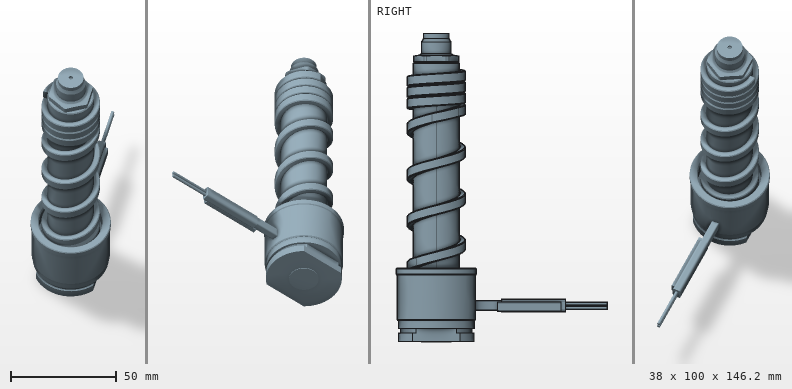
import cadquery as cq
import math

boss_radius = 7.0
base_bottom_z = 0.3
base_radius = 18.0
base_top_z = 4.3
neck_radius = 17.0
neck_top_z = 6.4
across_flats = 28.0
flange_radius = 18.0
flange_top_z = 10.2
cup_radius = 18.6
cup_edge_chamfer = 0.5
rim_radius = 19.0
rim_bottom_z = 31.8
rim_top_z = 35.1
rim_edge_chamfer = 0.4
bore_radius = 15.0
bore_mouth_chamfer = 0.6
bore_floor_z = 28.0

tube_radius = 11.0
tube_top_z = 132.5
tube_edge_chamfer = 0.5
undercut_radius = 9.2
hex_bottom_z = 132.8
hex_top_z = 135.5
hex_across_flats = 19.0
hex_corner_fillet = 1.5
hex_corner_radius = 10.75
bevel_radius = 7.9
bevel_bottom_z = 136.0
shoulder_radius = 7.0
shoulder_bottom_z = 136.7
shoulder_top_z = 142.1
tip_base_radius = 6.5
tip_base_z = 143.0
tip_radius = 6.1
tip_bottom_z = 143.8
total_height = 146.2
tip_hole_radius = 1.0
tip_hole_depth = 1.0

full_turn = 360.0
strip_outer_radius = 13.85
strip_overlap = 0.5
strip_inner_radius = tube_radius - strip_overlap
strip_height = 4.8
strip_outer_chamfer = 0.4
strip_inner_chamfer = 0.9
strip_end_angle = 176.0
strip_end_z = 127.5
tight_pitch = 5.3
open_pitch = 22.0
upper_tight_sweep = 1148.0
open_sweep = 1114.0
lower_tight_sweep = 720.0
blend_sweep = 116.0
blend_steps = 2

cable_x = -1.3
cable_z = 17.4
cable_width = 3.6
cable_height = 4.8
cable_fillet = 0.6
sleeve_width = 4.0
sleeve_height = 6.1
sleeve_fillet = 1.0
sleeve_start_y = 31.0
sleeve_end_y = 61.2
clip_left_x = -0.1
clip_right_x = 2.4
clip_bottom_z = 14.5
clip_height = 4.6
clip_fillet = 0.6
clip_start_y = 29.0
clip_end_y = 59.0
wire_radius = 0.75
wire_spacing = 2.0
wire_middle_z = 17.2
wire_end_y = 81.0


def disc(radius, bottom_z, top_z):
    return cq.Workplane("XY").workplane(offset=bottom_z).circle(radius).extrude(top_z - bottom_z)


def frustum(bottom_radius, top_radius, bottom_z, top_z):
    height = top_z - bottom_z
    return cq.Workplane("XY").add(
        cq.Solid.makeCone(bottom_radius, top_radius, height, cq.Vector(0, 0, bottom_z))
    )


def make_base():
    """Grooved foot with two flats, standing on a thin boss."""
    foot = disc(base_radius, base_bottom_z, base_top_z).union(disc(neck_radius, base_top_z, neck_top_z))
    flats = cq.Workplane("XY").box(across_flats, 2 * base_radius, neck_top_z, centered=(True, True, False))
    return foot.intersect(flats).union(disc(boss_radius, 0, base_bottom_z))


def make_cup():
    """Cup with a raised rim, bored from above around the tube."""
    flange = disc(flange_radius, neck_top_z, flange_top_z)
    wall = disc(cup_radius, flange_top_z, rim_bottom_z).faces("<Z").chamfer(cup_edge_chamfer)
    rim = disc(rim_radius, rim_bottom_z, rim_top_z).faces("<Z or >Z").chamfer(rim_edge_chamfer)
    bore = disc(bore_radius, bore_floor_z, rim_top_z)
    mouth = frustum(bore_radius, bore_radius + bore_mouth_chamfer, rim_top_z - bore_mouth_chamfer, rim_top_z)
    return flange.union(wall).union(rim).cut(bore).cut(mouth)


def make_tube():
    """Long tube carrying the cone-topped hexagon and the stepped tip."""
    tube = disc(tube_radius, neck_top_z, tube_top_z).faces(">Z").chamfer(tube_edge_chamfer)
    undercut = disc(undercut_radius, tube_top_z, hex_bottom_z)
    hex_cap = frustum(hex_corner_radius, bevel_radius, hex_top_z, bevel_bottom_z)
    hexagon = (
        cq.Workplane("XY")
        .workplane(offset=hex_bottom_z)
        .polygon(6, hex_across_flats, circumscribed=True)
        .extrude(bevel_bottom_z - hex_bottom_z)
        .edges("|Z")
        .fillet(hex_corner_fillet)
        .cut(disc(tube_radius, hex_top_z, bevel_bottom_z).cut(hex_cap))
    )
    bevel = frustum(bevel_radius, shoulder_radius, bevel_bottom_z, shoulder_bottom_z)
    shoulder = disc(shoulder_radius, shoulder_bottom_z, shoulder_top_z)
    shoulder_bevel = frustum(shoulder_radius, tip_base_radius, shoulder_top_z, tip_base_z)
    tip_base = frustum(tip_base_radius, tip_radius, tip_base_z, tip_bottom_z)
    tip = disc(tip_radius, tip_bottom_z, total_height)
    hole = disc(tip_hole_radius, total_height - tip_hole_depth, total_height)
    for piece in (undercut, hexagon, bevel, shoulder, shoulder_bevel, tip_base, tip):
        tube = tube.union(piece)
    return tube.cut(hole)


def strip_segment(pitch, sweep, start_angle, start_z):
    """One stretch of the strip, climbing counterclockwise at a constant pitch."""
    path = cq.Wire.makeHelix(pitch, pitch * sweep / full_turn, strip_outer_radius)
    thickness = strip_outer_radius - strip_inner_radius
    segment = (
        cq.Workplane("XZ")
        .center((strip_outer_radius + strip_inner_radius) / 2, 0)
        .sketch()
        .rect(thickness, strip_height)
        .vertices(">X")
        .chamfer(strip_outer_chamfer)
        .reset()
        .vertices("<X")
        .chamfer(strip_inner_chamfer)
        .finalize()
        .sweep(cq.Workplane(path), isFrenet=True)
    )
    return segment.rotate((0, 0, 0), (0, 0, 1), start_angle).translate((0, 0, start_z))


def make_strip():
    """Strip segments from the upper end down: tight, blend, open, blend, tight."""
    blend = []
    for step in range(blend_steps):
        share = (step + 0.5) / blend_steps
        blend.append((tight_pitch + share * (open_pitch - tight_pitch), blend_sweep / blend_steps))
    stretches = [(tight_pitch, upper_tight_sweep)] + blend + [(open_pitch, open_sweep)]
    stretches += blend[::-1] + [(tight_pitch, lower_tight_sweep)]

    angle = strip_end_angle
    z = strip_end_z
    segments = []
    for pitch, sweep in stretches:
        angle -= sweep
        z -= pitch * sweep / full_turn
        segments.append(strip_segment(pitch, sweep, angle, z))
    return segments


def bar_along_y(width, height, fillet, center_x, center_z, start_y, end_y):
    """Rectangular bar with rounded long edges."""
    length = end_y - start_y
    bar = cq.Workplane("XY").box(width, length, height).edges("|Y").fillet(fillet)
    return bar.translate((center_x, start_y + length / 2, center_z))


def make_cable():
    """Cable from the tube through the cup wall, with its sleeve, side clip and two wires."""
    cable_start_y = math.sqrt(tube_radius**2 - cable_x**2)
    cable = bar_along_y(
        cable_width, cable_height, cable_fillet, cable_x, cable_z, cable_start_y, sleeve_start_y
    )
    sleeve = bar_along_y(
        sleeve_width, sleeve_height, sleeve_fillet, cable_x, cable_z, sleeve_start_y, sleeve_end_y
    )
    clip = bar_along_y(
        clip_right_x - clip_left_x,
        clip_height,
        clip_fillet,
        (clip_left_x + clip_right_x) / 2,
        clip_bottom_z + clip_height / 2,
        clip_start_y,
        clip_end_y,
    )
    cable = cable.union(sleeve).union(clip)
    for side in (-1, 1):
        wire = cq.Solid.makeCylinder(
            wire_radius,
            wire_end_y - sleeve_end_y,
            cq.Vector(cable_x, sleeve_end_y, wire_middle_z + side * wire_spacing / 2),
            cq.Vector(0, 1, 0),
        )
        cable = cable.union(cq.Workplane(wire))
    return cable


result = make_base().union(make_cup()).union(make_tube())
for strip_piece in make_strip():
    result = result.union(strip_piece)
result = result.union(make_cable())